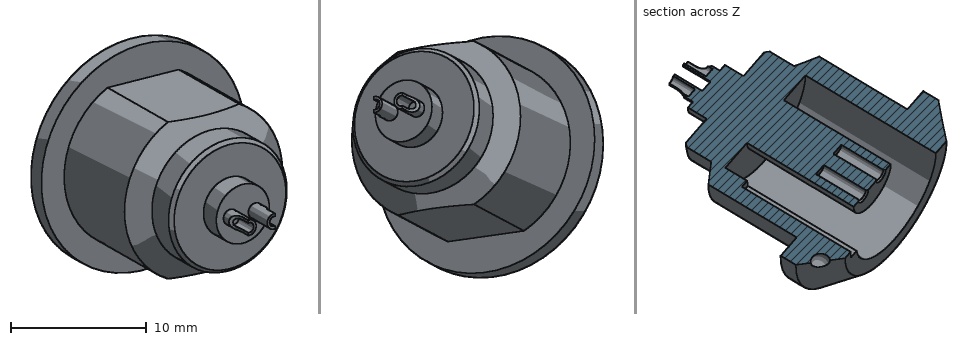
import cadquery as cq
import math

LENGTH = 19.7
BEVEL_END = 2.6
FLANGE_END = 4.0
BODY_END = 12.0
CONE_END = 13.0
BARREL_END = 15.5
INSERT_END = 17.2

FLANGE_RADIUS = 9.0
FACE_RADIUS = FLANGE_RADIUS - BEVEL_END
BODY_RADIUS = 7.0
BARREL_RADIUS = 5.25
BARREL_CHAMFER = 0.3
FLAT_HEIGHT = 6.25

BORE_RADIUS = 5.02
BORE_DEPTH = 11.82
KEYWAY_DEPTH = 9.85
KEYWAY_REACH = 5.67
KEYWAY_WIDTH = 1.5

INSERT_RADIUS = 2.35
INSERT_FRONT = 2.15

CONTACT_OFFSET = 1.1
CONTACT_RADIUS = 0.61
CONTACT_HOLE_RADIUS = 0.47
CONTACT_HOLE_CHAMFER = 0.14
CONTACT_HOLE_DEPTH = 3.94
CUP_BORE_RADIUS = 0.4
CUP_BORE_START = 17.73
CUP_CUT_START = 17.93
CUP_CUT_FLAT_START = 19.03
CUP_CUT_LEVEL = 0.08

DIMPLE_RADIUS = 0.7
DIMPLE_OFFSET = 7.7


def cylinder(start, end, radius, y=0.0):
    """Cylinder parallel to X between two stations."""
    return cq.Workplane("YZ", origin=(start, y, 0)).circle(radius).extrude(end - start)


def make_shell():
    """Turned outer shell with two flats on the body."""
    profile = [
        (0, 0),
        (0, FACE_RADIUS),
        (BEVEL_END, FLANGE_RADIUS),
        (FLANGE_END, FLANGE_RADIUS),
        (FLANGE_END, BODY_RADIUS),
        (BODY_END, BODY_RADIUS),
        (CONE_END, BARREL_RADIUS),
        (BARREL_END - BARREL_CHAMFER, BARREL_RADIUS),
        (BARREL_END, BARREL_RADIUS - BARREL_CHAMFER),
        (BARREL_END, 0),
    ]
    shell = cq.Workplane("XY").polyline(profile).close().revolve(360, (0, 0, 0), (1, 0, 0))
    flat_length = CONE_END - FLANGE_END
    flat_depth = BODY_RADIUS - FLAT_HEIGHT
    for side in (1, -1):
        waste = cq.Workplane("XY").box(flat_length, 2 * BODY_RADIUS, flat_depth)
        x_mid = FLANGE_END + flat_length / 2
        shell = shell.cut(waste.translate((x_mid, 0, side * (FLAT_HEIGHT + flat_depth / 2))))
    return shell


def make_socket():
    """Cavity of the front socket, including the keyway."""
    keyway = cq.Workplane("XY").box(
        KEYWAY_DEPTH, KEYWAY_REACH, KEYWAY_WIDTH, centered=(False, False, True)
    )
    return cylinder(0, BORE_DEPTH, BORE_RADIUS).union(keyway)


def make_dimple():
    """Sphere centred on the bevel surface."""
    x = DIMPLE_OFFSET - FACE_RADIUS
    return cq.Workplane("XY").sphere(DIMPLE_RADIUS).translate((x, DIMPLE_OFFSET, 0))


def make_contact_hole(y):
    """Blind contact hole with a chamfered mouth."""
    mouth_radius = CONTACT_HOLE_RADIUS + CONTACT_HOLE_CHAMFER
    chamfer_end = INSERT_FRONT + CONTACT_HOLE_CHAMFER
    hole_end = INSERT_FRONT + CONTACT_HOLE_DEPTH
    profile = [
        (INSERT_FRONT, 0),
        (INSERT_FRONT, mouth_radius),
        (chamfer_end, CONTACT_HOLE_RADIUS),
        (hole_end, CONTACT_HOLE_RADIUS),
        (hole_end, 0),
    ]
    hole = cq.Workplane("XY").polyline(profile).close().revolve(360, (0, 0, 0), (1, 0, 0))
    return hole.translate((0, y, 0))


def make_solder_cup(side):
    """Rear contact pin, bored and cut open on its outward side."""
    y = side * CONTACT_OFFSET
    pin = cylinder(INSERT_END, LENGTH, CONTACT_RADIUS, y)
    pin = pin.cut(cylinder(CUP_BORE_START, LENGTH, CUP_BORE_RADIUS, y))

    run = CUP_CUT_FLAT_START - CUP_CUT_START
    drop = CONTACT_RADIUS - CUP_CUT_LEVEL
    arc_radius = (run**2 + drop**2) / (2 * drop)
    half_angle = math.asin(run / arc_radius) / 2
    arc_middle = (
        CUP_CUT_FLAT_START - arc_radius * math.sin(half_angle),
        y + side * (CUP_CUT_LEVEL + arc_radius * (1 - math.cos(half_angle))),
    )
    top = y + side * CONTACT_RADIUS
    level = y + side * CUP_CUT_LEVEL
    opening = (
        cq.Workplane("XY")
        .moveTo(CUP_CUT_START, top)
        .threePointArc(arc_middle, (CUP_CUT_FLAT_START, level))
        .lineTo(LENGTH, level)
        .lineTo(LENGTH, top)
        .close()
        .extrude(CONTACT_RADIUS, both=True)
    )
    return pin.cut(opening)


result = make_shell().cut(make_socket()).cut(make_dimple())
result = result.union(cylinder(INSERT_FRONT, INSERT_END, INSERT_RADIUS))
for side in (1, -1):
    result = result.cut(make_contact_hole(side * CONTACT_OFFSET))
    result = result.union(make_solder_cup(side))